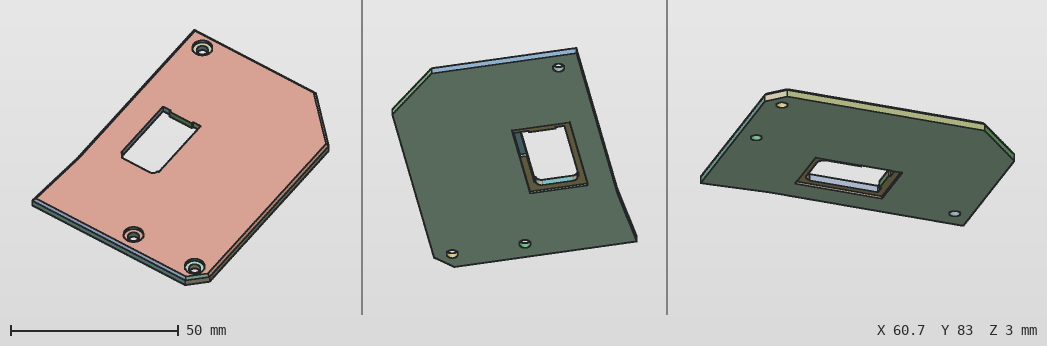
import cadquery as cq

LENGTH_X = 60.71
LENGTH_Y = 83.0
THICKNESS = 3.0
EDGE_CHAMFER = 0.8

LEFT_FLARE = 1.6
FLARE_HEIGHT = 21.5
LOWER_CORNER_CUT = 5.2
UPPER_CORNER_CUT = 15.0

SCREW_DIAMETER = 3.4
HEAD_DIAMETER = 6.0
HEAD_DEPTH = 1.0
SCREW_ROW_Y = 5.6
SCREW_POINTS = [(8.05, 77.9), (32.9, SCREW_ROW_Y), (55.05, SCREW_ROW_Y)]

WINDOW_LEFT = 11.5
WINDOW_BOTTOM = 28.6
WINDOW_WIDTH = 13.6
WINDOW_HEIGHT = 23.6
WINDOW_TOP = WINDOW_BOTTOM + WINDOW_HEIGHT
WINDOW_CORNER_RADIUS = 1.7
WINDOW_LEDGE = 0.45
TAB_WIDTH = 8.2
TAB_DEPTH = 0.6

RELIEF_MARGIN = 2.0
RELIEF_DEPTH = 0.8
SIDE_RELIEF_DEPTH = 1.8
SIDE_RELIEF_LENGTH = 10.4


def make_plate():
    """Flat plate with two cut corners, a flared left edge and a chamfered top rim."""
    outline = [
        (0, 0),
        (LENGTH_X - LOWER_CORNER_CUT, 0),
        (LENGTH_X, LOWER_CORNER_CUT),
        (LENGTH_X, LENGTH_Y - UPPER_CORNER_CUT),
        (LENGTH_X - UPPER_CORNER_CUT, LENGTH_Y),
        (LEFT_FLARE, LENGTH_Y),
        (LEFT_FLARE, FLARE_HEIGHT),
    ]
    plate = cq.Workplane("XY").polyline(outline).close().extrude(THICKNESS)
    return plate.faces(">Z").edges().chamfer(EDGE_CHAMFER)


def cut_screw_holes(plate):
    """Through holes with flat counterbores for the screw heads."""
    top = plate.faces(">Z").workplane(origin=(0, 0, THICKNESS))
    return top.pushPoints(SCREW_POINTS).cboreHole(SCREW_DIAMETER, HEAD_DIAMETER, HEAD_DEPTH)


def make_box(left, bottom, width, height, depth):
    """Box standing on the bottom plane, placed by its lower left corner."""
    return cq.Workplane("XY").box(width, height, depth, centered=False).translate((left, bottom, 0))


def make_window_cutter():
    """Opening with a narrower rounded lower end and a shallow tab on its upper side."""
    rounded_end = (
        make_box(
            WINDOW_LEFT + WINDOW_LEDGE,
            WINDOW_BOTTOM,
            WINDOW_WIDTH - 2 * WINDOW_LEDGE,
            WINDOW_HEIGHT / 2,
            THICKNESS,
        )
        .edges("|Z and <Y")
        .fillet(WINDOW_CORNER_RADIUS)
    )
    main_opening = make_box(
        WINDOW_LEFT,
        WINDOW_BOTTOM + WINDOW_CORNER_RADIUS,
        WINDOW_WIDTH,
        WINDOW_HEIGHT - WINDOW_CORNER_RADIUS,
        THICKNESS,
    )
    tab = make_box(
        WINDOW_LEFT + (WINDOW_WIDTH - TAB_WIDTH) / 2,
        WINDOW_TOP - TAB_DEPTH,
        TAB_WIDTH,
        TAB_DEPTH,
        THICKNESS,
    )
    return main_opening.union(rounded_end).cut(tab)


def make_underside_relief():
    """Shallow pocket all round the window, deeper beside the upper part of its right side."""
    shallow_pocket = make_box(
        WINDOW_LEFT - RELIEF_MARGIN,
        WINDOW_BOTTOM - RELIEF_MARGIN,
        WINDOW_WIDTH + 2 * RELIEF_MARGIN,
        WINDOW_HEIGHT + 2 * RELIEF_MARGIN,
        RELIEF_DEPTH,
    )
    side_pocket = make_box(
        WINDOW_LEFT + WINDOW_WIDTH,
        WINDOW_TOP - SIDE_RELIEF_LENGTH,
        RELIEF_MARGIN,
        SIDE_RELIEF_LENGTH,
        SIDE_RELIEF_DEPTH,
    )
    return shallow_pocket.union(side_pocket)


plate = cut_screw_holes(make_plate())
result = plate.cut(make_window_cutter()).cut(make_underside_relief())